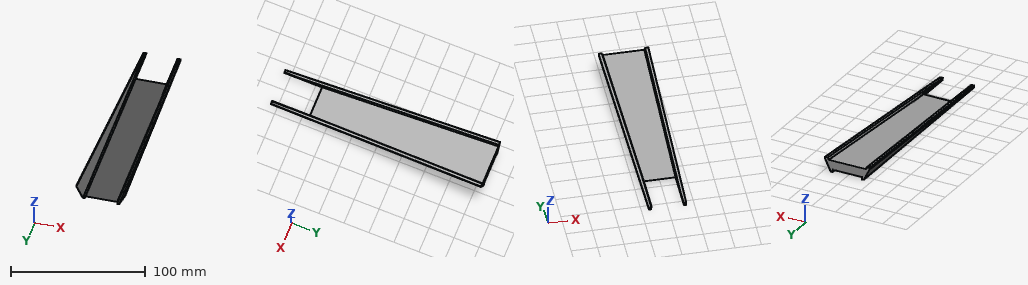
import cadquery as cq

length = 170.0
width = 37.7
tall_height = 11.2
low_height = 2.0

side_lean = 0.5
lip_height = 1.4
rail_top_width = 2.4
rail_bevel_width = 0.8
ramp_depth = 1.7
ramp_length = 139.7

channel_width = 24.8
ramp_fall = (tall_height - low_height) * ramp_length / length
channel_height = tall_height - ramp_depth - ramp_fall

foot_half_width = width / 2 - side_lean * (tall_height - lip_height)


def section_points(height):
    """Cross-section whose rail tops stand at the given height."""
    outer = foot_half_width + side_lean * (height - lip_height)
    rail_inner = outer - rail_top_width
    ramp_half_width = rail_inner - rail_bevel_width
    right_side = [
        (foot_half_width, 0),
        (outer, height - lip_height),
        (outer, height),
        (rail_inner, height),
        (ramp_half_width, height - ramp_depth),
    ]
    left_side = [(-x, z) for x, z in reversed(right_side)]
    return right_side + left_side


def make_wedge():
    """Straight taper from the tall end section to the low end section."""
    return (
        cq.Workplane("XZ", origin=(0, length / 2, 0))
        .polyline(section_points(tall_height)).close()
        .workplane(offset=length)
        .polyline(section_points(low_height)).close()
        .loft(ruled=True)
    )


def make_channel():
    """Full-length channel; it leaves the ramp with a feather edge at the low end."""
    return cq.Workplane("XY").box(
        channel_width, length, channel_height, centered=(True, True, False)
    )


result = make_wedge().cut(make_channel())